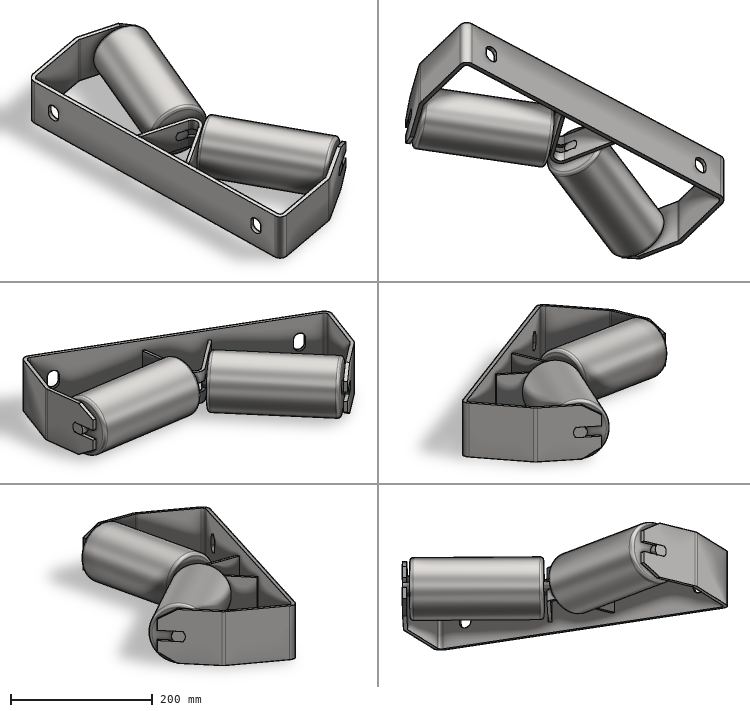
import cadquery as cq
import math

tilt = 25.0
frame_length = 460.0
frame_height = 80.0
frame_thickness = 6.0
frame_bend_radius = 12.0

bracket_height = 49.5
bracket_thickness = 5.0
bracket_bend_radius = 15.0

roller_diameter = 89.0
roller_length = 188.5
roller_edge_radius = 5.0
roller_x = 107.5
roller_y = 122.5
end_gap = 4.5

shaft_diameter = 20.0
shaft_flat_width = 15.0

arm_length = 92.5
arm_corner_length = 29.0
arm_corner_height = 16.0

mount_slot_x = 183.5
mount_slot_width = 18.0
mount_slot_height = 27.5

cos_tilt = math.cos(math.radians(tilt))
sin_tilt = math.sin(math.radians(tilt))
roller_distance = roller_x * cos_tilt + roller_y * sin_tilt
support_reach = roller_length / 2 + end_gap
shaft_radius = shaft_diameter / 2

half_length = frame_length / 2
frame_inner_radius = frame_bend_radius - frame_thickness
bend_x = half_length - frame_bend_radius
arm_face_distance = roller_distance + support_reach + frame_thickness
bend_y = (arm_face_distance - frame_bend_radius - bend_x * cos_tilt) / sin_tilt

bracket_inner_radius = bracket_bend_radius - bracket_thickness
leg_face_distance = roller_distance - support_reach
crest_y = (leg_face_distance - bracket_bend_radius) / sin_tilt


def polar(center, radius, angle):
    """Point on a circle at an angle in degrees from +X."""
    turn = math.radians(angle)
    return (center[0] + radius * math.cos(turn), center[1] + radius * math.sin(turn))


def shift(point, along, across):
    """Move a point along the right roller axis and across it (towards +Y)."""
    return (
        point[0] + along * cos_tilt - across * sin_tilt,
        point[1] + along * sin_tilt + across * cos_tilt,
    )


def across_from_roller(point):
    """Distance of a point from the right roller axis (towards +Y)."""
    return (point[1] - roller_y) * cos_tilt - (point[0] - roller_x) * sin_tilt


def place_at_roller(shape):
    """Move a shape from the roller's own axes (X along the shaft) to the right roller."""
    return shape.rotate((0, 0, 0), (0, 0, 1), tilt).translate((roller_x, roller_y, 0))


def mirror_pair(shape):
    """Join a right-hand shape with its left-hand mirror image."""
    return shape.union(shape.mirror("YZ"))


def shaft_section(start, end):
    """Shaft end with two flats, between two positions along the shaft."""
    length = end - start
    round_bar = cq.Workplane("YZ").workplane(offset=start).circle(shaft_radius).extrude(length)
    flats = cq.Workplane("YZ").workplane(offset=start).rect(shaft_diameter, shaft_flat_width)
    return round_bar.intersect(flats.extrude(length))


def shaft_slot(start, end, depth):
    """Cutter for a support slot seating the shaft end and open towards +Y."""
    opening = cq.Workplane("XY").box(
        end - start, depth, shaft_flat_width, centered=(False, False, True)
    ).translate((start, 0, 0))
    return place_at_roller(shaft_section(start, end).union(opening))


def make_frame():
    lower_bend = (bend_x, frame_bend_radius)
    upper_bend = (bend_x, bend_y)
    arm_base = polar(upper_bend, frame_bend_radius, tilt)
    arm_tip = shift(arm_base, 0, arm_length)
    profile = (
        cq.Workplane("XY")
        .workplane(offset=-frame_height / 2)
        .moveTo(0, 0)
        .lineTo(bend_x, 0)
        .threePointArc(polar(lower_bend, frame_bend_radius, -45), (half_length, frame_bend_radius))
        .lineTo(half_length, bend_y)
        .threePointArc(polar(upper_bend, frame_bend_radius, tilt / 2), arm_base)
        .lineTo(*arm_tip)
        .lineTo(*shift(arm_tip, -frame_thickness, 0))
        .lineTo(*polar(upper_bend, frame_inner_radius, tilt))
        .threePointArc(
            polar(upper_bend, frame_inner_radius, tilt / 2),
            (half_length - frame_thickness, bend_y),
        )
        .lineTo(half_length - frame_thickness, frame_bend_radius)
        .threePointArc(polar(lower_bend, frame_inner_radius, -45), (bend_x, frame_thickness))
        .lineTo(0, frame_thickness)
        .close()
    )
    half = profile.extrude(frame_height)

    tip_across = across_from_roller(arm_tip)
    for side in (1, -1):
        edge_z = side * frame_height / 2
        corner = (
            cq.Workplane("YZ")
            .workplane(offset=support_reach)
            .moveTo(tip_across, edge_z)
            .lineTo(tip_across - arm_corner_length, edge_z)
            .lineTo(tip_across, edge_z - side * arm_corner_height)
            .close()
            .extrude(frame_thickness)
        )
        half = half.cut(place_at_roller(corner))

    half = half.cut(shaft_slot(support_reach, support_reach + frame_thickness, arm_length))

    mount_slot = (
        cq.Workplane("XZ")
        .center(mount_slot_x, 0)
        .slot2D(mount_slot_height, mount_slot_width, 90)
        .extrude(-frame_thickness)
    )
    return mirror_pair(half.cut(mount_slot)).clean()


def make_bracket():
    crest = (0, crest_y)
    inner_top = polar(crest, bracket_inner_radius, tilt)
    leg_length = (inner_top[1] - frame_thickness) / cos_tilt
    leg_foot = shift(inner_top, 0, -leg_length)
    half = (
        cq.Workplane("XY")
        .workplane(offset=-bracket_height / 2)
        .moveTo(0, crest_y + bracket_bend_radius)
        .threePointArc(
            polar(crest, bracket_bend_radius, (90 + tilt) / 2),
            polar(crest, bracket_bend_radius, tilt),
        )
        .lineTo(*shift(leg_foot, bracket_thickness, 0))
        .lineTo(*leg_foot)
        .lineTo(*inner_top)
        .threePointArc(
            polar(crest, bracket_inner_radius, (90 + tilt) / 2),
            (0, crest_y + bracket_inner_radius),
        )
        .close()
        .extrude(bracket_height)
    )
    half = half.cut(shaft_slot(-support_reach - bracket_thickness, -support_reach, shaft_radius))

    crest_slot = cq.Workplane("XY").box(
        2 * bracket_bend_radius, bracket_bend_radius, shaft_flat_width, centered=(True, False, True)
    ).translate((0, crest_y, 0))
    return mirror_pair(half).cut(crest_slot).clean()


def make_roller(side):
    """Roller with its shaft, seated in the frame and the bracket; side is 1 for right, -1 for left."""
    drum = (
        cq.Workplane("YZ")
        .workplane(offset=-roller_length / 2)
        .circle(roller_diameter / 2)
        .extrude(roller_length)
        .faces("<X or >X")
        .edges()
        .fillet(roller_edge_radius)
    )
    shoulders = cq.Workplane("YZ").circle(shaft_radius).extrude(support_reach, both=True)
    flatted_ends = shaft_section(-support_reach - bracket_thickness, support_reach + frame_thickness)
    roller = place_at_roller(drum.union(shoulders).union(flatted_ends))
    return roller if side > 0 else roller.mirror("YZ")


frame = make_frame()
bracket = make_bracket()
rollers = [make_roller(side) for side in (1, -1)]

result = cq.Compound.makeCompound(
    [frame.solids().val(), bracket.solids().val(), *[roller.solids().val() for roller in rollers]]
)